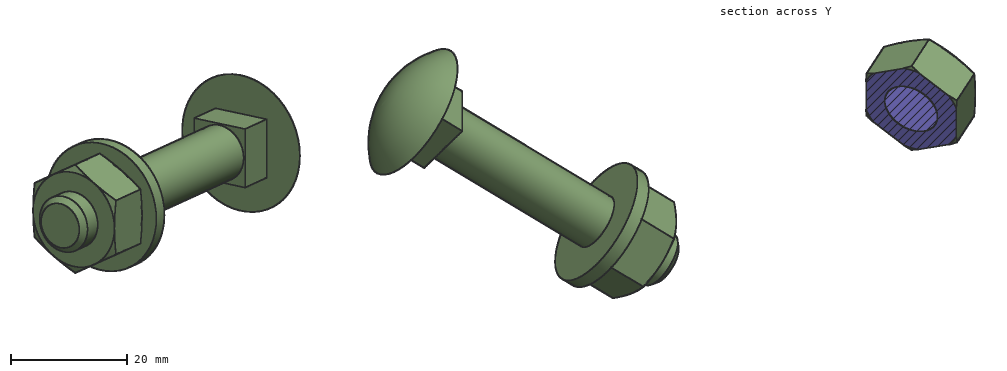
import cadquery as cq
import math

TOTAL_LENGTH = 60.4
HEAD_DIAMETER = 24.65
HEAD_HEIGHT = 5.4
NECK_WIDTH = 10.6
NECK_LENGTH = 6.5
SHANK_DIAMETER = 10.0
TIP_CHAMFER = 1.0
TIP_PROTRUSION = 4.1

WASHER_DIAMETER = 23.0
WASHER_THICKNESS = 2.5

NUT_ACROSS_FLATS = 17.0
NUT_HEIGHT = 8.4
NUT_SIDES = 6
NUT_CHAMFER_ANGLE = 20.0

shank_end_y = HEAD_HEIGHT - TOTAL_LENGTH
nut_outer_y = shank_end_y + TIP_PROTRUSION
nut_inner_y = nut_outer_y + NUT_HEIGHT
washer_inner_y = nut_inner_y + WASHER_THICKNESS


def section_plane(y):
    """Plane across the bolt axis at y, with its normal towards -Y."""
    return cq.Workplane("XZ", origin=(0, y, 0))


def make_bolt():
    """Domed head, square neck and round shank with a chamfered tip."""
    head_radius = HEAD_DIAMETER / 2
    dome_radius = (head_radius**2 + HEAD_HEIGHT**2) / (2 * HEAD_HEIGHT)
    dome_center_y = HEAD_HEIGHT - dome_radius
    arc_mid_x = head_radius / 2
    arc_mid_y = dome_center_y + math.sqrt(dome_radius**2 - arc_mid_x**2)
    head = (
        cq.Workplane("XY")
        .lineTo(head_radius, 0)
        .threePointArc((arc_mid_x, arc_mid_y), (0, HEAD_HEIGHT))
        .close()
        .revolve(360, (0, 0), (0, 1))
    )
    neck = section_plane(0).rect(NECK_WIDTH, NECK_WIDTH).extrude(NECK_LENGTH)
    shank = (
        section_plane(0)
        .circle(SHANK_DIAMETER / 2)
        .extrude(-shank_end_y)
        .faces("<Y")
        .chamfer(TIP_CHAMFER)
    )
    return head.union(neck).union(shank)


def make_washer():
    """Flat ring that fits the shank."""
    return (
        section_plane(washer_inner_y)
        .circle(WASHER_DIAMETER / 2)
        .circle(SHANK_DIAMETER / 2)
        .extrude(WASHER_THICKNESS)
    )


def make_nut():
    """Hexagon with corners on +Z and -Z, its corners chamfered at both ends."""
    face_radius = NUT_ACROSS_FLATS / 2
    corner_radius = face_radius / math.cos(math.pi / NUT_SIDES)
    chamfer_width = corner_radius - face_radius
    chamfer_height = chamfer_width * math.tan(math.radians(NUT_CHAMFER_ANGLE))
    hexagon = (
        section_plane(nut_inner_y)
        .transformed(rotate=(0, 0, 90))
        .polygon(NUT_SIDES, 2 * corner_radius)
        .extrude(NUT_HEIGHT)
    )
    chamfered_cylinder = (
        cq.Workplane("XY")
        .moveTo(0, nut_outer_y)
        .lineTo(face_radius, nut_outer_y)
        .lineTo(corner_radius, nut_outer_y + chamfer_height)
        .lineTo(corner_radius, nut_inner_y - chamfer_height)
        .lineTo(face_radius, nut_inner_y)
        .lineTo(0, nut_inner_y)
        .close()
        .revolve(360, (0, 0), (0, 1))
    )
    bore = section_plane(nut_inner_y).circle(SHANK_DIAMETER / 2).extrude(NUT_HEIGHT)
    return hexagon.intersect(chamfered_cylinder).cut(bore)


bolt = make_bolt()
washer = make_washer()
nut = make_nut()

result = cq.Compound.makeCompound([bolt.val(), washer.val(), nut.val()])